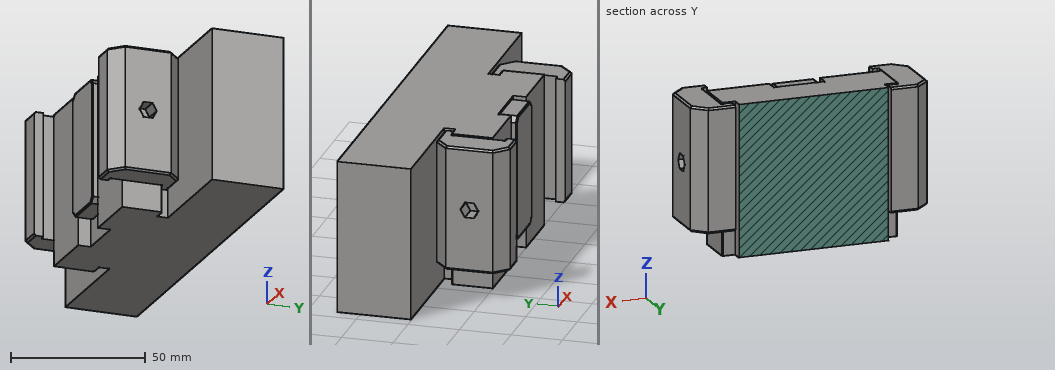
import cadquery as cq
import math

length = 150.0
height = 60.0
plate_thickness = 28.6

block_half_width = 35.0
block_depth = 20.2
undercut_half_width = 29.8
undercut_width = 4.2
block_edge_chamfer = 0.5

key_width = 20.2
groove_depth = 5.0
key_projection = 2.2
key_corner_chamfer = 2.1
key_front_chamfer = 0.5
key_bottom = 10.2
key_top = 59.2

jaw_outer = 47.2
jaw_inner = 35.4
hook_tip = 31.0
lip_tip = 33.0
jaw_back_gap = 0.5
jaw_reach = 29.0
lip_thickness = 3.8
jaw_corner_width = 5.4
jaw_corner_depth = 5.1
inner_relief = 0.5
jaw_end_chamfer = 0.8
jaw_bottom = 10.5
jaw_top = 59.5

socket_across_flats = 6.0
socket_depth = 7.5

plate_front = -plate_thickness
block_front = plate_front - block_depth
undercut_floor = plate_front - undercut_width


def make_body():
    """Plate with the undercut block, grooved along the middle."""
    plate = cq.Workplane("XY").box(length, plate_thickness, height, centered=(True, False, False))
    plate = plate.translate((0, plate_front, 0))
    half_outline = [
        (0, plate_front),
        (undercut_half_width, plate_front),
        (undercut_half_width, undercut_floor),
        (block_half_width - block_edge_chamfer, undercut_floor),
        (block_half_width, undercut_floor - block_edge_chamfer),
        (block_half_width, block_front),
        (0, block_front),
    ]
    half_block = cq.Workplane("XY").polyline(half_outline).close().extrude(height)
    block = half_block.union(half_block.mirror("YZ"))
    groove = cq.Workplane("XY").box(key_width, groove_depth, height, centered=(True, False, False))
    groove = groove.translate((0, block_front, 0))
    return plate.union(block).cut(groove)


def make_key():
    """Bar seated in the groove, with cut corners and a bevelled front face."""
    thickness = groove_depth + key_projection
    key_height = key_top - key_bottom
    key = cq.Workplane("XY").box(key_width, thickness, key_height, centered=(True, False, False))
    key = key.edges("|Y").chamfer(key_corner_chamfer)
    key = key.faces("<Y").chamfer(key_front_chamfer)
    return key.translate((0, block_front - key_projection, key_bottom))


def make_jaw():
    """Jaw on the -X side: hook in the undercut, lip in front, bevelled ends and a hex socket."""
    back = plate_front - jaw_back_gap
    front = plate_front - jaw_reach
    lip_back = front + lip_thickness
    outer_outline = [
        (-hook_tip, back),
        (-jaw_outer + jaw_corner_width, back),
        (-jaw_outer, back - jaw_corner_depth),
        (-jaw_outer, front + jaw_corner_depth),
        (-jaw_outer + jaw_corner_width, front),
        (-hook_tip, front),
    ]
    blank = cq.Workplane("XY").workplane(offset=jaw_bottom).polyline(outer_outline).close()
    blank = blank.extrude(jaw_top - jaw_bottom)
    bevelled = blank.faces(">Z or <Z").edges("not >X").chamfer(jaw_end_chamfer)
    inner_outline = [
        (-hook_tip, undercut_floor),
        (-jaw_inner + inner_relief, undercut_floor),
        (-jaw_inner, undercut_floor - inner_relief),
        (-jaw_inner, lip_back + inner_relief),
        (-jaw_inner + inner_relief, lip_back),
        (-lip_tip, lip_back),
        (-lip_tip, front),
        (-hook_tip, front),
    ]
    inner_space = cq.Workplane("XY").polyline(inner_outline).close().extrude(height)
    socket = (
        cq.Workplane("YZ")
        .polygon(6, socket_across_flats / math.cos(math.pi / 6))
        .extrude(socket_depth)
        .translate((-jaw_outer, (back + front) / 2, (jaw_top + jaw_bottom) / 2))
    )
    return bevelled.cut(inner_space).cut(socket)


jaw = make_jaw()
result = make_body().union(make_key()).union(jaw).union(jaw.mirror("YZ"))